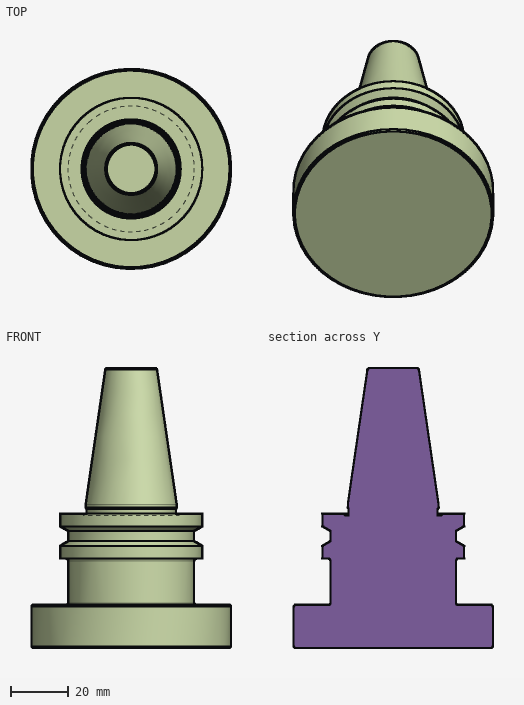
import cadquery as cq
import math

base_radius = 34.9
base_height = 15.2
edge_chamfer = 0.6

neck_radius = 22.0
neck_foot_fillet = 0.6
neck_top_fillet = 0.9

flange_radius = 24.8
flange_bottom = 31.2
flange_top = 46.9
rim_height = 4.5
groove_wall_angle = 30.0
groove_wall_height = (flange_radius - neck_radius) * math.tan(math.radians(groove_wall_angle))
groove_bottom = flange_bottom + rim_height
groove_top = flange_top - rim_height

recess_radius = 17.3
recess_depth = 0.7
recess_floor_radius = recess_radius - recess_depth
recess_floor = flange_top - recess_depth

total_height = 97.8
taper_slope = 7 / 24 / 2
root_radius = 15.6
collar_radius = 15.9
collar_relief_bottom = 48.5
collar_bottom = 49.1
taper_bottom = 50.1
tip_chamfer = 0.6
taper_top = total_height - tip_chamfer
taper_top_radius = collar_radius - taper_slope * (taper_top - taper_bottom)


def fillet_end(sketch, center, radius, angle, end):
    """Draw a concave arc to `end`, passing the point at `angle` degrees about `center`."""
    middle = (
        center[0] + radius * math.cos(math.radians(angle)),
        center[1] + radius * math.sin(math.radians(angle)),
    )
    return sketch.threePointArc(middle, end)


profile = (
    cq.Workplane("XZ")
    .lineTo(base_radius - edge_chamfer, 0)
    .lineTo(base_radius, edge_chamfer)
    .lineTo(base_radius, base_height - edge_chamfer)
    .lineTo(base_radius - edge_chamfer, base_height)
    .lineTo(neck_radius + neck_foot_fillet, base_height)
)

profile = fillet_end(
    profile,
    (neck_radius + neck_foot_fillet, base_height + neck_foot_fillet),
    neck_foot_fillet,
    225,
    (neck_radius, base_height + neck_foot_fillet),
)
profile = profile.lineTo(neck_radius, flange_bottom - neck_top_fillet)
profile = fillet_end(
    profile,
    (neck_radius + neck_top_fillet, flange_bottom - neck_top_fillet),
    neck_top_fillet,
    135,
    (neck_radius + neck_top_fillet, flange_bottom),
)

profile = (
    profile.lineTo(flange_radius, flange_bottom)
    .lineTo(flange_radius, groove_bottom)
    .lineTo(neck_radius, groove_bottom + groove_wall_height)
    .lineTo(neck_radius, groove_top - groove_wall_height)
    .lineTo(flange_radius, groove_top)
    .lineTo(flange_radius, flange_top)
    .lineTo(recess_radius, flange_top)
    .lineTo(recess_floor_radius, recess_floor)
    .lineTo(root_radius, recess_floor)
    .lineTo(root_radius, collar_relief_bottom)
    .lineTo(collar_radius, collar_bottom)
    .lineTo(collar_radius, taper_bottom)
    .lineTo(taper_top_radius, taper_top)
    .lineTo(taper_top_radius - tip_chamfer, total_height)
    .lineTo(0, total_height)
    .close()
)

result = profile.revolve(360, (0, 0, 0), (0, 1, 0))